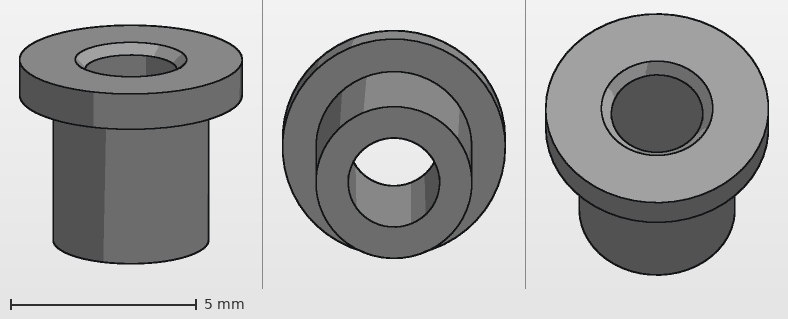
import cadquery as cq

flange_diameter = 6.0
flange_thickness = 1.0
sleeve_diameter = 4.2
total_height = 5.1
bore_diameter = 2.46
bore_mouth_diameter = 3.0

sleeve_length = total_height - flange_thickness
bore_chamfer = (bore_mouth_diameter - bore_diameter) / 2


def make_body():
    """Sleeve standing on Z = 0 with the flange on top."""
    sleeve = cq.Workplane("XY").circle(sleeve_diameter / 2).extrude(sleeve_length)
    return (
        sleeve.faces(">Z")
        .workplane()
        .circle(flange_diameter / 2)
        .extrude(flange_thickness)
    )


def cut_bore(body):
    """Through bore, chamfered where it opens in the flange face."""
    bored = body.faces(">Z").workplane().hole(bore_diameter)
    bore_mouth = bored.faces(">Z").edges(cq.selectors.RadiusNthSelector(0))
    return bore_mouth.chamfer(bore_chamfer)


result = cut_bore(make_body())